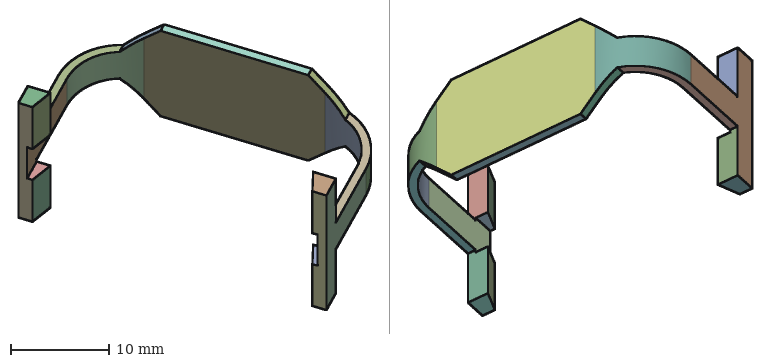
import cadquery as cq

width = 33.9
depth = 17.65
foot_height = 17.15

thickness = 1.0
bend_radius = 7.0
strap_height = 4.0

plate_height = 12.8
plate_flat_length = 16.25
taper_length = 4.3

foot_depth = 2.55
foot_base_width = 2.5
foot_tip_width = 1.55
notch_height = 4.6

half_width = width / 2
foot_base_y = foot_depth - depth


def rounded_block(inset):
    """Solid block with two rounded back corners, inset from the outer face of the clip."""
    return (
        cq.Workplane("XY")
        .rect(width - 2 * inset, 2 * (depth - inset))
        .extrude(foot_height / 2, both=True)
        .edges("|Z and >Y")
        .fillet(bend_radius - inset)
        .translate((0, -depth, 0))
    )


def front_silhouette():
    """Strap and tapered plate outline, extruded through the whole depth."""
    flat_x = plate_flat_length / 2
    neck_x = flat_x + taper_length
    plate_z = plate_height / 2
    strap_z = strap_height / 2
    upper = [(-half_width, strap_z), (-neck_x, strap_z), (-flat_x, plate_z),
             (flat_x, plate_z), (neck_x, strap_z), (half_width, strap_z)]
    lower = [(x, -z) for x, z in reversed(upper)]
    return cq.Workplane("XZ").polyline(upper + lower).close().extrude(depth)


def left_foot():
    """Tapered bar with a notch that leaves only the strap thickness at mid height."""
    profile = [
        (-half_width, foot_base_y),
        (-half_width + foot_base_width, foot_base_y),
        (-half_width + foot_tip_width, -depth),
        (-half_width, -depth),
    ]
    bar = cq.Workplane("XY").polyline(profile).close().extrude(foot_height / 2, both=True)
    notch = (
        cq.Workplane("XY")
        .box(foot_base_width, foot_depth, notch_height, centered=(False, False, True))
        .translate((-half_width + thickness, -depth, 0))
    )
    return bar.cut(notch)


bent_wall = rounded_block(0).cut(rounded_block(thickness))
strip = bent_wall.intersect(front_silhouette())

foot = left_foot()
result = strip.union(foot).union(foot.mirror("YZ"))